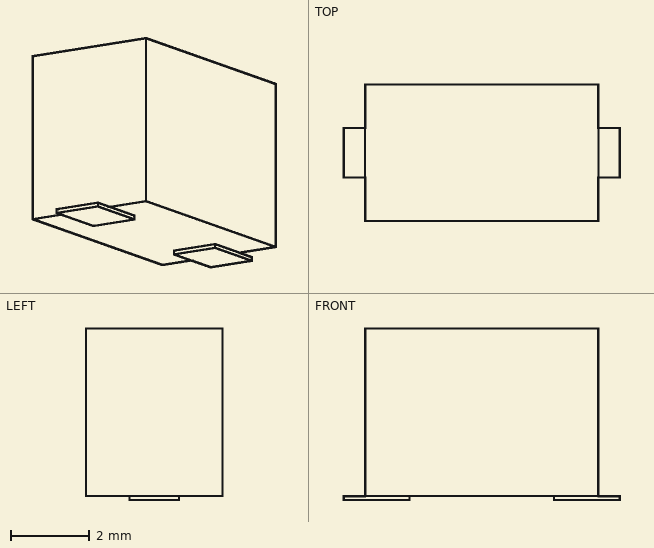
import cadquery as cq

body_length = 5.97
body_width = 3.5

overall_length = 7.08
overall_height = 4.4
terminal_length = 1.69
terminal_width = 1.27
terminal_thickness = 0.1

body_height = overall_height - terminal_thickness
terminal_offset = (overall_length - terminal_length) / 2


def make_body():
    """Plain block standing on the top faces of the terminals."""
    return (
        cq.Workplane("XY")
        .workplane(offset=terminal_thickness)
        .rect(body_length, body_width)
        .extrude(body_height)
    )


def make_terminal(side):
    """Flat strip at the -X (side = -1) or +X (side = 1) end of the body."""
    return (
        cq.Workplane("XY")
        .center(side * terminal_offset, 0)
        .rect(terminal_length, terminal_width)
        .extrude(terminal_thickness)
    )


body = make_body()
terminals = [make_terminal(side) for side in (-1, 1)]

result = cq.Compound.makeCompound([body.val(), *[terminal.val() for terminal in terminals]])